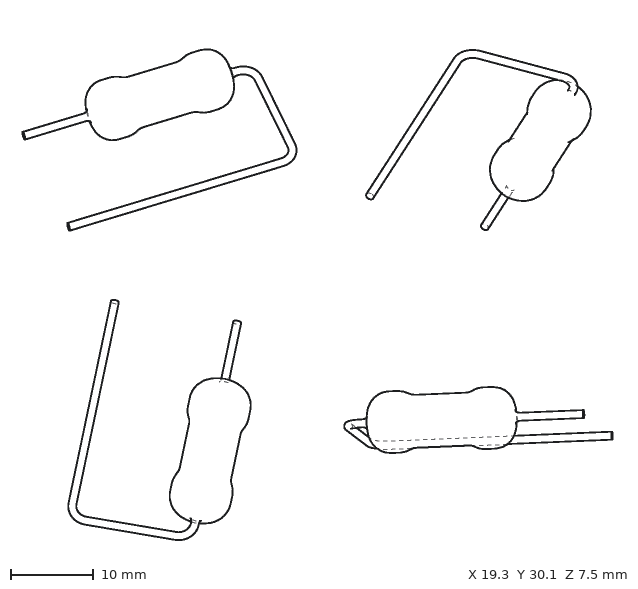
import cadquery as cq


LEAD_RADIUS = 1.0 / 2
LEAD_PITCH = 15.02
LEAD_END_Y = -17.6
OVERALL_LENGTH = 30.1
BEND_RADIUS = 2.0

WAIST_RADIUS = 6.38 / 2
BULB_RADIUS = 7.5 / 2
COLLAR_RADIUS = 1.23
WAIST_HALF = 3.0
FLARE_MIDDLE = 4.15
BULB_START = 5.25
BULB_END = 6.38
BODY_HALF = 9.0

collar_end = BODY_HALF + COLLAR_RADIUS - LEAD_RADIUS
flare_radius = (WAIST_RADIUS + BULB_RADIUS) / 2
fold_y = LEAD_END_Y + OVERALL_LENGTH - LEAD_RADIUS
bend_start_y = fold_y - BEND_RADIUS


def make_body():
    """Revolve the body, its collars and the straight lead stubs about Y."""
    profile = (
        cq.Workplane("XY")
        .moveTo(0, LEAD_END_Y)
        .lineTo(LEAD_RADIUS, LEAD_END_Y)
        .lineTo(LEAD_RADIUS, -collar_end)
        .tangentArcPoint((COLLAR_RADIUS, -BODY_HALF), relative=False)
        .tangentArcPoint((BULB_RADIUS, -BULB_END), relative=False)
        .lineTo(BULB_RADIUS, -BULB_START)
        .tangentArcPoint((flare_radius, -FLARE_MIDDLE), relative=False)
        .tangentArcPoint((WAIST_RADIUS, -WAIST_HALF), relative=False)
        .lineTo(WAIST_RADIUS, WAIST_HALF)
        .tangentArcPoint((flare_radius, FLARE_MIDDLE), relative=False)
        .tangentArcPoint((BULB_RADIUS, BULB_START), relative=False)
        .lineTo(BULB_RADIUS, BULB_END)
        .tangentArcPoint((COLLAR_RADIUS, BODY_HALF), relative=False)
        .tangentArcPoint((LEAD_RADIUS, collar_end), relative=False)
        .lineTo(LEAD_RADIUS, bend_start_y)
        .lineTo(0, bend_start_y)
        .close()
    )
    return profile.revolve(360, (0, 0, 0), (0, 1, 0))


def make_folded_lead():
    """Sweep the wire round two right-angle bends and back along the body."""
    path = (
        cq.Workplane("XY")
        .moveTo(0, bend_start_y)
        .radiusArc((BEND_RADIUS, fold_y), BEND_RADIUS)
        .lineTo(LEAD_PITCH - BEND_RADIUS, fold_y)
        .radiusArc((LEAD_PITCH, bend_start_y), BEND_RADIUS)
        .lineTo(LEAD_PITCH, LEAD_END_Y)
    )
    section = cq.Workplane("XZ", origin=(0, bend_start_y, 0)).circle(LEAD_RADIUS)
    return section.sweep(path)


result = make_body().union(make_folded_lead())